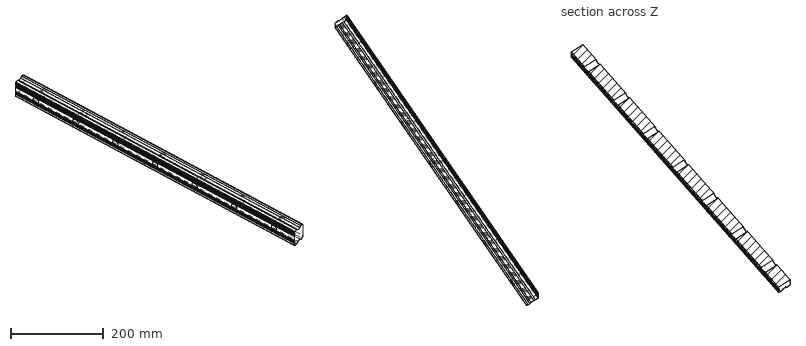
import cadquery as cq

length = 740.0
depth = 32.0
height = 45.0

groove_depth = 4.0
back_lip_end = 9.0
floor_start = 12.0
floor_end = 19.0
front_lip_start = 24.0

back_bevel = 4.5
front_bevel = 1.5

channel_depth = 2.0
channel_inner = 7.8
channel_outer = 14.4

hole_count = 7
hole_pitch = 105.0
hole_diameter = 14.0

back = depth / 2
front = -depth / 2
top = height / 2


def make_rail():
    """Extrude the rail section, symmetric about its middle plane."""
    floor = top - groove_depth
    channel_floor = front + channel_depth
    upper_half = [
        (back, top - back_bevel),
        (back - back_bevel, top),
        (back - back_lip_end, top),
        (back - floor_start, floor),
        (back - floor_end, floor),
        (back - front_lip_start, top),
        (front + front_bevel, top),
        (front, top - front_bevel),
        (front, channel_outer),
        (channel_floor, channel_outer),
        (channel_floor, channel_inner),
        (front, channel_inner),
    ]
    lower_half = [(y, -z) for y, z in reversed(upper_half)]
    section = cq.Workplane("YZ").polyline(upper_half + lower_half).close()
    return section.extrude(length / 2, both=True)


def make_holes():
    """Row of plain through holes along Y."""
    return (
        cq.Workplane("XZ")
        .rarray(hole_pitch, 7.5, hole_count, 1)
        .circle(hole_diameter / 2)
        .extrude(depth, both=True)
    )


result = make_rail().cut(make_holes())